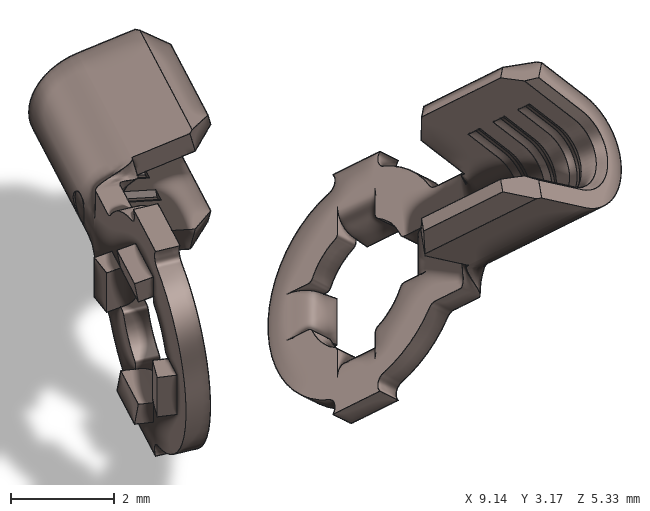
import cadquery as cq
import math


LENGTH = 9.14
SHEET = 0.5
BARREL_HEIGHT = 2.79
CLAW_DROP = 0.38

RING_RADIUS = 2.41
RING_X = LENGTH - RING_RADIUS
HOLE_RADIUS = 1.33
HOLE_CORNER_RADIUS = 0.14
EAR_SPAN = 5.33
EAR_NOTCH_RADIUS = 0.23
EAR_NOTCH_OFFSET = 0.81

CLAW_COUNT = 4
CLAW_WIDTH = 1.02
CLAW_INNER = 1.38
CLAW_TILT = 9.0
TILT = math.radians(CLAW_TILT)
CLAW_BEND_AT = CLAW_INNER + SHEET / math.cos(TILT)

NECK_START = 3.91
NECK_WIDTH = 2.54
TRANSITION_STEPS = 4
NECK_FILLET = 0.19

BARREL_LENGTH = 3.18
BARREL_RADIUS = 1.27
BARREL_INNER_RADIUS = BARREL_RADIUS - SHEET
ARM_FLARE = 12.6
TIP_BEVEL_LENGTH = 0.44
TIP_FLAT = 0.265
TIP_CORNER_CUT = 0.51
MOUTH_CHAMFER_DEPTH = 0.13
MOUTH_CHAMFER_LENGTH = 0.18

GROOVE_COUNT = 3
GROOVE_FIRST_X = 0.59
GROOVE_PITCH = 0.68
GROOVE_WIDTH = 0.32
GROOVE_FLOOR = 0.07
GROOVE_DEPTH = 0.08
GROOVE_ARM_LENGTH = 0.83

DIMPLE_X = 2.91
DIMPLE_RADIUS = 0.32
DIMPLE_RECESS = 0.041
DIMPLE_TOP = 0.58

OVERLAP = 0.09

FLARE = math.radians(ARM_FLARE)
ARM_DIRECTION = (math.cos(FLARE), math.sin(FLARE))
ARM_OUTWARD = (-math.sin(FLARE), math.cos(FLARE))


def arm_point(along, radius):
    """(Y, Z) point on the upper arm: distance past the bend, distance from the barrel axis."""
    y = BARREL_RADIUS + along * ARM_DIRECTION[0] + radius * ARM_OUTWARD[0]
    z = along * ARM_DIRECTION[1] + radius * ARM_OUTWARD[1]
    return y, z


def mirrored(point):
    """The (Y, Z) point reflected to the lower arm."""
    return point[0], -point[1]


ARM_LENGTH = (BARREL_HEIGHT - arm_point(0, BARREL_INNER_RADIUS)[0]) / ARM_DIRECTION[0]


def plate_prism(sketch):
    """Give an outline drawn in X and Z the sheet thickness, from Y = 0 upwards."""
    return sketch.extrude(-SHEET)


def face_plane():
    return cq.Workplane("XZ")


def make_ring():
    disc = plate_prism(face_plane().center(RING_X, 0).circle(RING_RADIUS))

    neck_length = RING_X - NECK_START
    neck = plate_prism(face_plane().center(NECK_START + neck_length / 2, 0).rect(neck_length, NECK_WIDTH))
    plate = disc.union(neck)
    corner_x = RING_X - math.sqrt(RING_RADIUS**2 - (NECK_WIDTH / 2) ** 2)
    corners = cq.selectors.BoxSelector(
        (corner_x - OVERLAP, -OVERLAP, -NECK_WIDTH),
        (corner_x + OVERLAP, SHEET + OVERLAP, NECK_WIDTH),
    )
    plate = plate.edges("|Y").edges(corners).fillet(NECK_FILLET)

    notch_z = math.sqrt((RING_RADIUS + EAR_NOTCH_RADIUS) ** 2 - EAR_NOTCH_OFFSET**2)
    for side in (1, -1):
        outline = [
            (0, 0),
            (EAR_NOTCH_OFFSET, side * notch_z),
            (EAR_NOTCH_OFFSET, side * EAR_SPAN / 2),
            (-EAR_NOTCH_OFFSET, side * EAR_SPAN / 2),
            (-EAR_NOTCH_OFFSET, side * notch_z),
        ]
        ear = plate_prism(face_plane().center(RING_X, 0).polyline(outline).close())
        notch_centres = [(-EAR_NOTCH_OFFSET, side * notch_z), (EAR_NOTCH_OFFSET, side * notch_z)]
        notches = face_plane().center(RING_X, 0).pushPoints(notch_centres).circle(EAR_NOTCH_RADIUS)
        plate = plate.union(ear.cut(plate_prism(notches)))

    return plate.cut(make_hole())


def make_hole():
    """Round hole with a slot for each claw, the corners between them rounded."""
    hole = plate_prism(face_plane().circle(HOLE_RADIUS))
    for size in ((2 * CLAW_BEND_AT, CLAW_WIDTH), (CLAW_WIDTH, 2 * CLAW_BEND_AT)):
        hole = hole.union(plate_prism(face_plane().rect(*size)))
    reach = math.sqrt(HOLE_RADIUS**2 - (CLAW_WIDTH / 2) ** 2)
    inner_corners = cq.selectors.BoxSelector(
        (-reach - OVERLAP, -OVERLAP, -reach - OVERLAP),
        (reach + OVERLAP, SHEET + OVERLAP, reach + OVERLAP),
    )
    hole = hole.edges("|Y").edges(inner_corners).fillet(HOLE_CORNER_RADIUS)
    return hole.translate((RING_X, 0, 0))


def make_claws():
    """Tongues of the ring, bent out of their slots past the ring face and leaning inwards."""
    claw_length = (CLAW_DROP - SHEET * math.sin(TILT)) / math.cos(TILT)
    outer_tip = (CLAW_BEND_AT - CLAW_DROP * math.tan(TILT), -CLAW_DROP)
    inner_tip = (CLAW_INNER - claw_length * math.sin(TILT), -claw_length * math.cos(TILT))
    bend_end = (CLAW_BEND_AT - SHEET * math.cos(TILT), SHEET * math.sin(TILT))
    halfway = (math.pi / 2 - TILT) / 2
    bend_middle = (CLAW_BEND_AT - SHEET * math.sin(halfway), SHEET * math.cos(halfway))
    root = CLAW_BEND_AT + OVERLAP
    claw = (
        cq.Workplane("XY")
        .moveTo(*inner_tip)
        .lineTo(*bend_end)
        .threePointArc(bend_middle, (CLAW_BEND_AT, SHEET))
        .lineTo(root, SHEET)
        .lineTo(root, 0)
        .lineTo(CLAW_BEND_AT, 0)
        .lineTo(*outer_tip)
        .close()
        .extrude(CLAW_WIDTH / 2, both=True)
    )
    claws = cq.Workplane("XY")
    for index in range(CLAW_COUNT):
        claws = claws.add(claw.rotate((0, 0, 0), (0, 1, 0), index * 360 / CLAW_COUNT))
    return claws.combine().translate((RING_X, 0, 0))


def arm_face_plane(radius):
    """Plane along the upper arm: local x is X, local y runs from the bend to the tip, normal outward."""
    return cq.Plane(
        origin=(0, *arm_point(0, radius)),
        xDir=(1, 0, 0),
        normal=(0, *ARM_OUTWARD),
    )


def make_barrel():
    outer_bend = arm_point(0, BARREL_RADIUS)
    inner_bend = arm_point(0, BARREL_INNER_RADIUS)
    bevel_start = arm_point(ARM_LENGTH - TIP_BEVEL_LENGTH, BARREL_RADIUS)
    bevel_end = arm_point(ARM_LENGTH, BARREL_INNER_RADIUS + TIP_FLAT)
    tip = arm_point(ARM_LENGTH, BARREL_INNER_RADIUS)
    barrel = (
        cq.Workplane("YZ")
        .moveTo(*bevel_start)
        .lineTo(*outer_bend)
        .threePointArc((0, 0), mirrored(outer_bend))
        .lineTo(*mirrored(bevel_start))
        .lineTo(*mirrored(bevel_end))
        .lineTo(*mirrored(tip))
        .lineTo(*mirrored(inner_bend))
        .threePointArc((SHEET, 0), inner_bend)
        .lineTo(*tip)
        .lineTo(*bevel_end)
        .close()
        .extrude(BARREL_LENGTH)
    )

    corner_start = ARM_LENGTH - TIP_CORNER_CUT
    corner_end = ARM_LENGTH + OVERLAP
    for end_x, inward in ((0, 1), (BARREL_LENGTH, -1)):
        corner = [
            (end_x - inward * OVERLAP, corner_start - OVERLAP),
            (end_x + inward * (TIP_CORNER_CUT + OVERLAP), corner_end),
            (end_x - inward * OVERLAP, corner_end),
        ]
        cutter = (
            cq.Workplane(arm_face_plane(BARREL_INNER_RADIUS - OVERLAP))
            .polyline(corner)
            .close()
            .extrude(SHEET + 2 * OVERLAP)
        )
        barrel = barrel.cut(cutter).cut(cutter.mirror("XY"))
    return barrel


def inner_cutter(profile, arm_length):
    """Sweep a profile of (X, depth into the wall) round the bend and along both arms."""
    on_bend = [(x, -BARREL_INNER_RADIUS - depth) for x, depth in profile]
    ring = (
        cq.Workplane("XY")
        .polyline(on_bend)
        .close()
        .revolve(360, (0, 0, 0), (1, 0, 0))
        .translate((0, BARREL_RADIUS, 0))
    )
    section_plane = cq.Plane(
        origin=(0, *arm_point(0, BARREL_INNER_RADIUS)),
        xDir=(1, 0, 0),
        normal=(0, -ARM_DIRECTION[0], -ARM_DIRECTION[1]),
    )
    arm = cq.Workplane(section_plane).polyline(profile).close().extrude(-arm_length)
    return ring.union(arm).union(arm.mirror("XY"))


def make_mouth_chamfer():
    slope = MOUTH_CHAMFER_LENGTH / MOUTH_CHAMFER_DEPTH
    profile = [
        (-OVERLAP, -OVERLAP),
        (MOUTH_CHAMFER_LENGTH + OVERLAP * slope, -OVERLAP),
        (-OVERLAP, MOUTH_CHAMFER_DEPTH + OVERLAP / slope),
    ]
    return inner_cutter(profile, ARM_LENGTH + OVERLAP)


def make_groove(start_x):
    end_x = start_x + GROOVE_WIDTH
    slope = (GROOVE_WIDTH - GROOVE_FLOOR) / 2
    profile = [
        (start_x, -OVERLAP),
        (start_x, 0),
        (start_x + slope, GROOVE_DEPTH),
        (end_x - slope, GROOVE_DEPTH),
        (end_x, 0),
        (end_x, -OVERLAP),
    ]
    return inner_cutter(profile, GROOVE_ARM_LENGTH)


def make_transition():
    """Blend the curved bottom of the barrel into the flat neck, the rise easing out as a cosine."""
    curved_outer = arm_point(0, BARREL_RADIUS)
    curved_inner = arm_point(0, BARREL_INNER_RADIUS)
    half_neck = NECK_WIDTH / 2
    length = NECK_START - BARREL_LENGTH
    blend = cq.Workplane("YZ", origin=(BARREL_LENGTH, 0, 0))
    for step in range(TRANSITION_STEPS + 1):
        curl = (1 + math.cos(math.pi * step / TRANSITION_STEPS)) / 2
        outer = (curl * curved_outer[0], half_neck + curl * (curved_outer[1] - half_neck))
        inner = (
            SHEET + curl * (curved_inner[0] - SHEET),
            half_neck + curl * (curved_inner[1] - half_neck),
        )
        if step:
            blend = blend.workplane(offset=length / TRANSITION_STEPS)
        blend = blend.moveTo(*outer)
        if step < TRANSITION_STEPS:
            blend = blend.threePointArc((0, 0), mirrored(outer)).lineTo(*mirrored(inner))
            blend = blend.threePointArc((SHEET, 0), inner).close()
        else:
            blend = blend.lineTo(*mirrored(outer)).lineTo(*mirrored(inner)).lineTo(*inner).close()
    return blend.loft(ruled=False, combine=True)


def dimple_disc(bottom, top):
    """Cylinder along Y on the dimple axis, between two heights."""
    plane = cq.Workplane("XZ", origin=(DIMPLE_X, bottom, 0))
    return plane.circle(DIMPLE_RADIUS).extrude(bottom - top)


barrel = make_barrel().cut(make_mouth_chamfer())
for groove in range(GROOVE_COUNT):
    barrel = barrel.cut(make_groove(GROOVE_FIRST_X + groove * GROOVE_PITCH))

result = barrel.union(make_transition()).union(make_ring()).union(make_claws())
result = result.union(dimple_disc(SHEET / 2, DIMPLE_TOP))
result = result.cut(dimple_disc(-OVERLAP, DIMPLE_RECESS))